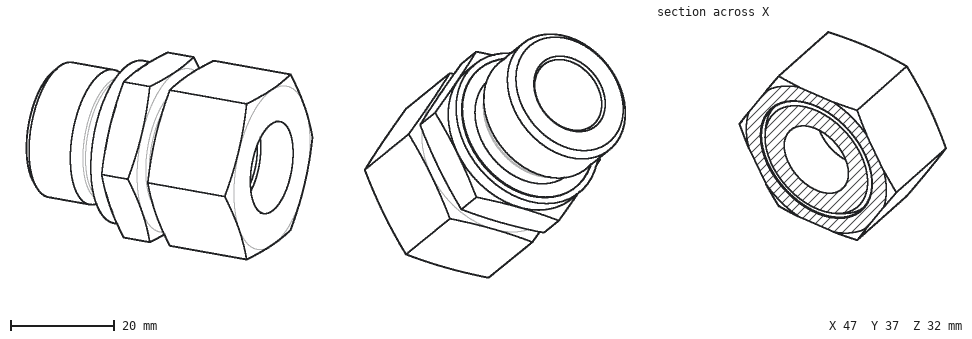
import cadquery as cq
import math


HEX_FLATS = 32.0
HEX_CORNER_R = HEX_FLATS / math.sqrt(3)
HEX_CHAMFER_R = HEX_FLATS / 2
HEX_CHAMFER_ANGLE = math.radians(15)

BORE_R = 7.5
BORE_CHAMFER = 0.5

THREAD_R = 13.22
THREAD_CHAMFER = 1.2
THREAD_END_X = 10.15
NECK_R = 11.9
RUNOUT_ANGLE = math.radians(30)
NECK_FILLET_R = 1.0

COLLAR_X = 16.0
COLLAR_R = 15.95
HEX_X = 19.0
HEX_END_X = 26.0

SEAL_R = 14.7
SEAL_WIDTH = 2.0
SEAL_PROTRUSION = 0.3

RELIEF_R = 11.85
RELIEF_FILLET_R = 0.5
STEM_CONE_X = 28.65
STEM_R = 13.0
STEM_END_X = 40.0

NUT_X = 29.0
NUT_END_X = 47.0
TUBE_HOLE_R = 9.0
NUT_MOUTH_CHAMFER = 0.25


def revolve_about_x(profile):
    """Revolve a half profile, drawn as (x, radius), about the X axis."""
    return profile.close().revolve(360, (0, 0, 0), (1, 0, 0))


def cylinder(start_x, end_x, radius):
    """Solid cylinder on the X axis."""
    return cq.Workplane("YZ").workplane(offset=start_x).circle(radius).extrude(end_x - start_x)


def chamfered_hexagon(start_x, end_x):
    """Hexagon with flats facing +Z and -Z and its corners turned off conically at both ends."""
    hexagon = (
        cq.Workplane("YZ")
        .workplane(offset=start_x)
        .polygon(6, 2 * HEX_CORNER_R)
        .extrude(end_x - start_x)
    )
    chamfer_length = (HEX_CORNER_R - HEX_CHAMFER_R) * math.tan(HEX_CHAMFER_ANGLE)
    envelope = revolve_about_x(
        cq.Workplane("XY")
        .moveTo(start_x, 0)
        .lineTo(start_x, HEX_CHAMFER_R)
        .lineTo(start_x + chamfer_length, HEX_CORNER_R)
        .lineTo(end_x - chamfer_length, HEX_CORNER_R)
        .lineTo(end_x, HEX_CHAMFER_R)
        .lineTo(end_x, 0)
    )
    return hexagon.intersect(envelope)


def make_seal_ring():
    """Flat ring around the neck, standing slightly proud of the collar face."""
    face_x = COLLAR_X - SEAL_PROTRUSION
    back_x = face_x + SEAL_WIDTH
    return cylinder(face_x, back_x, SEAL_R).cut(cylinder(face_x, back_x, NECK_R))


def make_turned_body():
    """Thread, neck, collar and stem as one solid of revolution, before the hexagon and bore."""
    runout_length = (THREAD_R - NECK_R) / math.tan(RUNOUT_ANGLE)
    runout_end_x = THREAD_END_X + runout_length
    tangent_length = NECK_FILLET_R * math.tan(RUNOUT_ANGLE / 2)
    fillet_start = (
        runout_end_x - tangent_length * math.cos(RUNOUT_ANGLE),
        NECK_R + tangent_length * math.sin(RUNOUT_ANGLE),
    )
    stem_cone_length = (STEM_R - RELIEF_R) / math.tan(RUNOUT_ANGLE)

    return revolve_about_x(
        cq.Workplane("XY")
        .moveTo(0, 0)
        .lineTo(0, THREAD_R - THREAD_CHAMFER)
        .lineTo(THREAD_CHAMFER, THREAD_R)
        .lineTo(THREAD_END_X, THREAD_R)
        .lineTo(*fillet_start)
        .radiusArc((runout_end_x + tangent_length, NECK_R), -NECK_FILLET_R)
        .lineTo(COLLAR_X, NECK_R)
        .lineTo(COLLAR_X, COLLAR_R)
        .lineTo(HEX_X, COLLAR_R)
        .lineTo(HEX_X, RELIEF_R + RELIEF_FILLET_R)
        .lineTo(HEX_END_X, RELIEF_R + RELIEF_FILLET_R)
        .radiusArc((HEX_END_X + RELIEF_FILLET_R, RELIEF_R), -RELIEF_FILLET_R)
        .lineTo(STEM_CONE_X, RELIEF_R)
        .lineTo(STEM_CONE_X + stem_cone_length, STEM_R)
        .lineTo(STEM_END_X, STEM_R)
        .lineTo(STEM_END_X, 0)
    )


def make_bore():
    """Through bore, chamfered at the thread end."""
    return revolve_about_x(
        cq.Workplane("XY")
        .moveTo(0, 0)
        .lineTo(0, BORE_R + BORE_CHAMFER)
        .lineTo(BORE_CHAMFER, BORE_R)
        .lineTo(STEM_END_X, BORE_R)
        .lineTo(STEM_END_X, 0)
    )


def make_body(seal_ring):
    """Fitting body with its hexagon, bore and the groove that holds the seal ring."""
    body = make_turned_body().union(chamfered_hexagon(HEX_X, HEX_END_X))
    return body.cut(make_bore()).cut(seal_ring)


def make_nut():
    """Union nut bored to the stem size, with a chamfered mouth and a tube hole through its end wall."""
    cavity = revolve_about_x(
        cq.Workplane("XY")
        .moveTo(NUT_X, 0)
        .lineTo(NUT_X, STEM_R + NUT_MOUTH_CHAMFER)
        .lineTo(NUT_X + NUT_MOUTH_CHAMFER, STEM_R)
        .lineTo(STEM_END_X, STEM_R)
        .lineTo(STEM_END_X, TUBE_HOLE_R)
        .lineTo(NUT_END_X, TUBE_HOLE_R)
        .lineTo(NUT_END_X, 0)
    )
    return chamfered_hexagon(NUT_X, NUT_END_X).cut(cavity)


seal_ring = make_seal_ring()
body = make_body(seal_ring)
nut = make_nut()

result = cq.Compound.makeCompound([body.val(), seal_ring.val(), nut.val()])